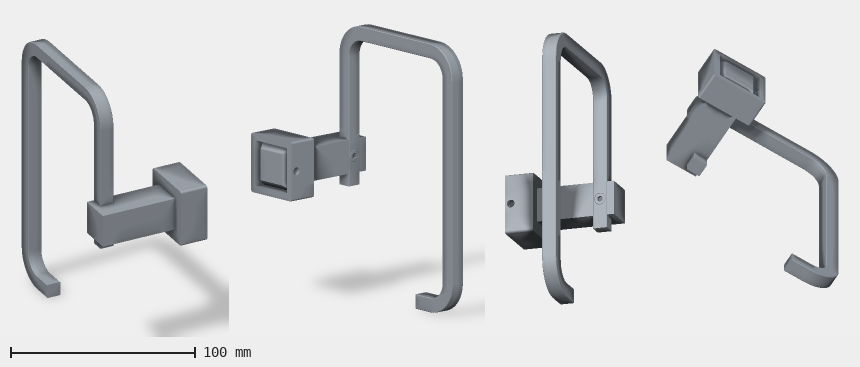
import cadquery as cq


BAR = 8.0
RING_HEIGHT = 149.0
RING_WIDTH = 92.1
BEND_OUTER = 18.0
BEND_INNER = BEND_OUTER - BAR
BAR_BEVEL = 0.3
HOOK_END_X = 30.0
RING_FRONT_Y = 4.0
RING_BACK_Y = RING_FRONT_Y + BAR

TOTAL_WIDTH = 109.7
TOTAL_DEPTH = 60.0
BASE_SIDE = 33.0
BASE_DEPTH = 16.1
BASE_CORNER = 1.2
BASE_FRONT_Y = TOTAL_DEPTH - BASE_DEPTH
AXIS_X = TOTAL_WIDTH - BASE_SIDE / 2
AXIS_Z = 75.1
BASE_LEFT_X = AXIS_X - BASE_SIDE / 2
LEG_END_Z = AXIS_Z - BASE_SIDE / 2

POCKET_WALL = 3.7
PLATE_SIDE = BASE_SIDE - 2 * POCKET_WALL
PLATE_THICKNESS = 6.0
PLATE_INSET = 4.0
PLATE_BACK_SIDE = PLATE_SIDE - 2 * PLATE_INSET
SIDE_HOLE_DIAMETER = 4.3
SIDE_HOLE_FROM_WALL = 3.5

ARM_SIDE = 18.8
ARM_LEFT_X = AXIS_X - ARM_SIDE / 2

HEAD_DIAMETER = 6.5
HEAD_HEIGHT = 3.0
HEAD_BEVEL = 0.3
SHANK_DIAMETER = 3.6
SCREW_LENGTH = 13.4
SOCKET_ACROSS_CORNERS = 3.5
SOCKET_DEPTH = 1.8
SOCKET_TURN_ANGLE = 30
LEG_LEFT_X = RING_WIDTH - BAR
SCREW_Y = RING_FRONT_Y + BAR / 2


def block(x_min, x_max, y_min, y_max, z_min, z_max):
    """Box between two opposite corners."""
    size = (x_max - x_min, y_max - y_min, z_max - z_min)
    return cq.Workplane("XY").box(*size, centered=False).translate((x_min, y_min, z_min))


def cylinder_along_x(start_x, length, diameter, y, z):
    """Cylinder that starts at start_x and runs toward +X."""
    return cq.Workplane("YZ", origin=(start_x, y, z)).circle(diameter / 2).extrude(length)


def make_plate():
    """Square plate, flush with the wall, whose four edges taper in toward the wall."""
    front_face = cq.Workplane("ZX", origin=(AXIS_X, TOTAL_DEPTH - PLATE_THICKNESS, AXIS_Z))
    front_outline = front_face.rect(PLATE_SIDE, PLATE_SIDE)
    both_outlines = front_outline.workplane(offset=PLATE_THICKNESS).rect(PLATE_BACK_SIDE, PLATE_BACK_SIDE)
    return both_outlines.loft(ruled=True)


def make_base():
    """Square block with rounded corners, a plate pocket in the back and a set screw hole in the side."""
    front_face = cq.Workplane("ZX", origin=(AXIS_X, BASE_FRONT_Y, AXIS_Z))
    base = front_face.rect(BASE_SIDE, BASE_SIDE).extrude(BASE_DEPTH).edges("|Y").fillet(BASE_CORNER)
    pocket_floor = cq.Workplane("ZX", origin=(AXIS_X, TOTAL_DEPTH - PLATE_THICKNESS, AXIS_Z))
    pocket = pocket_floor.rect(PLATE_SIDE, PLATE_SIDE).extrude(PLATE_THICKNESS)
    hole_y = TOTAL_DEPTH - SIDE_HOLE_FROM_WALL
    side_hole = cylinder_along_x(BASE_LEFT_X, POCKET_WALL, SIDE_HOLE_DIAMETER, hole_y, AXIS_Z)
    return base.cut(pocket).cut(side_hole)


def make_screw_blank():
    """Head and shank of the screw without its socket, which is also the space the screw fills."""
    head = cylinder_along_x(LEG_LEFT_X, HEAD_HEIGHT, HEAD_DIAMETER, SCREW_Y, AXIS_Z)
    shank = cylinder_along_x(LEG_LEFT_X, SCREW_LENGTH, SHANK_DIAMETER, SCREW_Y, AXIS_Z)
    return head.union(shank)


def make_screw():
    """Screw with a bevelled head, flush with the leg, and a hexagon socket."""
    head_face = cq.Workplane("YZ", origin=(LEG_LEFT_X, SCREW_Y, AXIS_Z))
    turned_face = head_face.transformed(rotate=(0, 0, SOCKET_TURN_ANGLE))
    socket = turned_face.polygon(6, SOCKET_ACROSS_CORNERS).extrude(SOCKET_DEPTH)
    bevelled_blank = make_screw_blank().faces("<X").edges().chamfer(HEAD_BEVEL)
    return bevelled_blank.cut(socket)


def make_arm():
    """Square bar with a side notch for the leg of the ring and a hole for the screw."""
    half = ARM_SIDE / 2
    bottom_z = AXIS_Z - half
    top_z = AXIS_Z + half
    bar = block(ARM_LEFT_X, AXIS_X + half, 0, BASE_FRONT_Y, bottom_z, top_z)
    notch = block(ARM_LEFT_X, RING_WIDTH, RING_FRONT_Y, RING_BACK_Y, bottom_z, top_z)
    return bar.cut(notch).cut(make_screw_blank())


def make_ring():
    """Square bar with fine bevels and three equal bends, from the leg in the arm round to the open hook."""
    outer = block(0, RING_WIDTH, RING_FRONT_Y, RING_BACK_Y, 0, RING_HEIGHT)
    outer = outer.edges("|Y").edges("<X or >Z").fillet(BEND_OUTER)
    inner = block(BAR, RING_WIDTH - BAR, RING_FRONT_Y, RING_BACK_Y, BAR, RING_HEIGHT - BAR)
    inner = inner.edges("|Y").edges("<X or >Z").fillet(BEND_INNER)
    closed_frame = outer.cut(inner).faces("<Y or >Y").edges().chamfer(BAR_BEVEL)
    below_leg = block(LEG_LEFT_X, RING_WIDTH, RING_FRONT_Y, RING_BACK_Y, 0, LEG_END_Z)
    past_hook = block(HOOK_END_X, RING_WIDTH, RING_FRONT_Y, RING_BACK_Y, 0, BAR)
    return closed_frame.cut(below_leg).cut(past_hook).cut(make_screw_blank())


plate = make_plate()
base = make_base()
arm = make_arm()
ring = make_ring()
screw = make_screw()

bodies = [plate, base, arm, ring, screw]
result = cq.Compound.makeCompound([body.solids().val() for body in bodies])